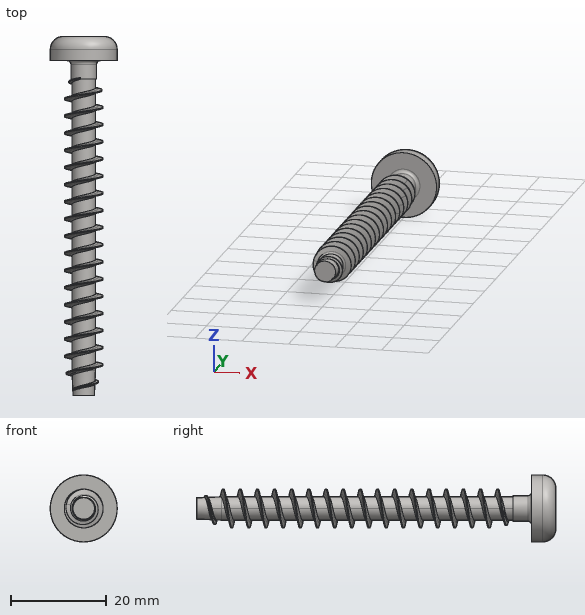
import cadquery as cq
import math

total_length = 75
head_diameter = 14.0
head_height = 5.1
dome_radius = 2.8
neck_radius = 2.7
neck_fillet = 0.75
neck_length = 3.8
core_radius = 2.5
tip_radius = 2.25
tip_taper_length = 5.25

crest_radius = 4.05
crest_width = 0.2
shoulder_width = 0.6
root_width = 1.5
shoulder_height_fraction = 0.45
root_radius = 2.0
thread_start = 3.2
thread_end = 68.55
run_in_length = 4.3
run_out_length = 4.3
first_crest_on_x = 6.15
last_crest_on_x = 67.05
turns_between_crests = 17
pitch = (last_crest_on_x - first_crest_on_x) / turns_between_crests
stations_per_segment = 16

shank_length = total_length - head_height
head_radius = head_diameter / 2


def make_blank():
    """Revolve the domed head, filleted neck, core and tapered tip."""
    half_outline = (
        cq.Workplane("XY")
        .moveTo(0, head_height)
        .lineTo(head_radius - dome_radius, head_height)
        .radiusArc((head_radius, head_height - dome_radius), dome_radius)
        .lineTo(head_radius, 0)
        .lineTo(neck_radius + neck_fillet, 0)
        .radiusArc((neck_radius, -neck_fillet), -neck_fillet)
        .lineTo(neck_radius, -neck_length)
        .lineTo(core_radius, -neck_length)
        .lineTo(core_radius, tip_taper_length - shank_length)
        .lineTo(tip_radius, -shank_length)
        .lineTo(0, -shank_length)
        .close()
    )
    return half_outline.revolve(360, (0, 0), (0, 1))


def ridge_height(distance):
    """Ridge height above the core, easing in at the neck and fading out at the tip."""
    run_in = max(0, min(1, (distance - thread_start) / run_in_length))
    run_out = max(0, min(1, (thread_end - distance) / run_out_length))
    return (crest_radius - core_radius) * math.sin(math.pi / 2 * run_in) * run_out


def ridge_edge(height_fraction, axial_offset, start, end):
    """Trace one longitudinal edge of the ridge along the helix from start to end."""
    parameters = [station / stations_per_segment for station in range(stations_per_segment + 1)]
    points = []
    for parameter in parameters:
        distance = start + (end - start) * parameter
        angle = 2 * math.pi * (distance - first_crest_on_x) / pitch
        radius = root_radius + height_fraction * (core_radius + ridge_height(distance) - root_radius)
        points.append(
            cq.Vector(radius * math.cos(angle), -distance - axial_offset, radius * math.sin(angle))
        )
    return cq.Edge.makeSpline(points, parameters=parameters)


def make_thread_segment(start, end):
    """Join ruled flanks between the ridge edges and close both ends."""
    profile = [
        (0, -root_width / 2),
        (shoulder_height_fraction, -shoulder_width / 2),
        (1, -crest_width / 2),
        (1, crest_width / 2),
        (shoulder_height_fraction, shoulder_width / 2),
        (0, root_width / 2),
    ]
    edges = [ridge_edge(fraction, offset, start, end) for fraction, offset in profile]
    faces = []
    for index, edge in enumerate(edges):
        next_edge = edges[(index + 1) % len(edges)]
        faces.append(cq.Face.makeRuledSurface(edge, next_edge))
    for end_parameter in (0, 1):
        corners = [edge.positionAt(end_parameter) for edge in edges]
        faces.append(cq.Face.makeFromWires(cq.Wire.makePolygon(corners, close=True)))
    return cq.Solid.makeSolid(cq.Shell.makeShell(faces)).fix()


def make_thread():
    """Build the thread as a chain of segments, each about one turn long."""
    segment_count = math.ceil((thread_end - thread_start) / pitch)
    segment_length = (thread_end - thread_start) / segment_count
    segments = []
    for index in range(segment_count):
        start = thread_start + index * segment_length
        segments.append(make_thread_segment(start, start + segment_length))
    return segments


screw = make_blank().val().fuse(*make_thread())
result = cq.Workplane(obj=screw.Solids()[0])